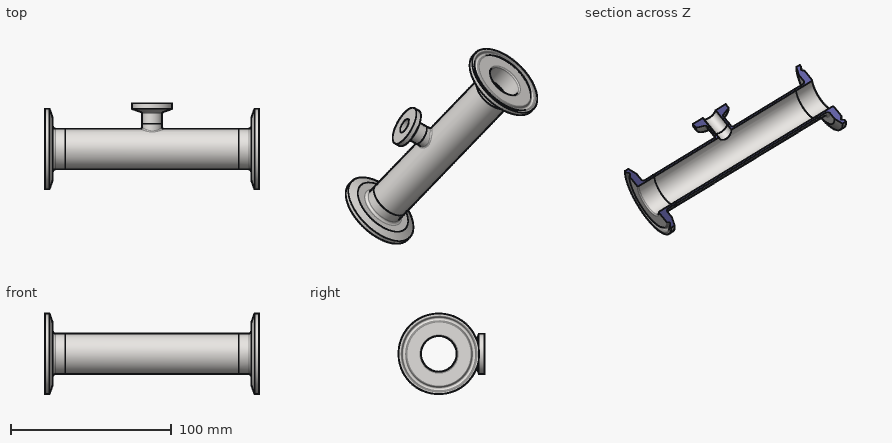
import cadquery as cq
import math

tube_length = 108.0
tube_diameter = 25.4
tube_bore = 22.1

branch_diameter = 12.7
branch_bore = 9.4
branch_reach = 28.575
outlet_fillet = 0.8

ferrule_length = 12.7
cone_slope = math.tan(math.radians(20))

flange_diameter = 50.4
rim_thickness = 2.85
bore_lip_fillet = 0.8
back_face_position = 4.95
neck_fillet = 1.6

groove_diameter = 43.6
groove_width = 3.0
groove_floor_radius = 1.2
groove_wall_angle = math.radians(60)
groove_lip_fillet = 0.5

face_tolerance = 0.01

branch_flange_diameter = 25.2
branch_rim_thickness = 3.6
branch_neck_fillet = 0.8


def make_end_ferrule():
    """End ferrule with its clamping face at the origin and its neck pointing along +X."""
    bore_radius = tube_bore / 2
    neck_radius = tube_diameter / 2
    flange_radius = flange_diameter / 2
    groove_radius = groove_diameter / 2
    groove_half_width = groove_width / 2
    floor_half_width = groove_floor_radius * math.sin(groove_wall_angle)
    wall_depth = (groove_half_width - floor_half_width) * math.tan(groove_wall_angle)
    groove_depth = wall_depth + groove_floor_radius * (1 - math.cos(groove_wall_angle))
    back_face_radius = flange_radius - (back_face_position - rim_thickness) / cone_slope
    body = (
        cq.Workplane("XY")
        .moveTo(0, bore_radius)
        .lineTo(0, groove_radius - groove_half_width)
        .lineTo(wall_depth, groove_radius - floor_half_width)
        .threePointArc((groove_depth, groove_radius), (wall_depth, groove_radius + floor_half_width))
        .lineTo(0, groove_radius + groove_half_width)
        .lineTo(0, flange_radius)
        .lineTo(rim_thickness, flange_radius)
        .lineTo(back_face_position, back_face_radius)
        .lineTo(back_face_position, neck_radius + neck_fillet)
        .radiusArc((back_face_position + neck_fillet, neck_radius), -neck_fillet)
        .lineTo(ferrule_length, neck_radius)
        .lineTo(ferrule_length, bore_radius)
        .close()
        .revolve(360, (0, 0, 0), (1, 0, 0))
    )
    face_corner = (-face_tolerance, -flange_radius, -flange_radius)
    opposite_corner = (face_tolerance, flange_radius, flange_radius)
    face_circles = body.edges(cq.selectors.BoxSelector(face_corner, opposite_corner))
    bore_edge = face_circles.edges(cq.selectors.RadiusNthSelector(0))
    inner_lip = face_circles.edges(cq.selectors.RadiusNthSelector(1))
    outer_lip = face_circles.edges(cq.selectors.RadiusNthSelector(2))
    lip_edges = [inner_lip.val(), outer_lip.val()]
    rounded = body.val().fillet(bore_lip_fillet, [bore_edge.val()])
    return cq.Workplane(rounded.fillet(groove_lip_fillet, lip_edges))


def make_branch_ferrule():
    """Branch ferrule with its clamping face at the end of the branch and its neck towards the run tube."""
    neck_radius = branch_diameter / 2
    flange_radius = branch_flange_diameter / 2
    bore_radius = branch_bore / 2
    rim_position = branch_reach - branch_rim_thickness
    cone_foot = rim_position - (flange_radius - neck_radius) * cone_slope
    neck_end = branch_reach - ferrule_length
    body = (
        cq.Workplane("XY")
        .moveTo(bore_radius, branch_reach)
        .lineTo(flange_radius, branch_reach)
        .lineTo(flange_radius, rim_position)
        .lineTo(neck_radius, cone_foot)
        .lineTo(neck_radius, neck_end)
        .lineTo(bore_radius, neck_end)
        .close()
        .revolve(360, (0, 0, 0), (0, 1, 0))
    )
    foot_edge = cq.selectors.NearestToPointSelector((-neck_radius, cone_foot, 0))
    return body.edges(foot_edge).fillet(branch_neck_fillet)


def make_run_tube():
    """Run tube with its short branch outlet, open along X and out through the branch."""
    outlet_length = branch_reach - ferrule_length
    run = cq.Workplane("YZ").circle(tube_diameter / 2).extrude(tube_length / 2, both=True)
    outlet = cq.Workplane("XZ").circle(branch_diameter / 2).extrude(-outlet_length)
    joined = run.union(outlet)
    joint_point = (0, math.sqrt(tube_diameter**2 - branch_diameter**2) / 2, branch_diameter / 2)
    joined = joined.edges(cq.selectors.NearestToPointSelector(joint_point)).fillet(outlet_fillet)
    run_bore = cq.Workplane("YZ").circle(tube_bore / 2).extrude(tube_length / 2, both=True)
    outlet_bore = cq.Workplane("XZ").circle(branch_bore / 2).extrude(-outlet_length)
    return joined.cut(run_bore).cut(outlet_bore)


run_tube = make_run_tube()
branch_ferrule = make_branch_ferrule()

face_position = tube_length / 2 + ferrule_length
end_ferrules = []
for turn in (0, 180):
    end_ferrule = make_end_ferrule().translate((-face_position, 0, 0))
    end_ferrules.append(end_ferrule.rotate((0, 0, 0), (0, 0, 1), turn).val())

result = cq.Compound.makeCompound([run_tube.val(), branch_ferrule.val(), *end_ferrules])